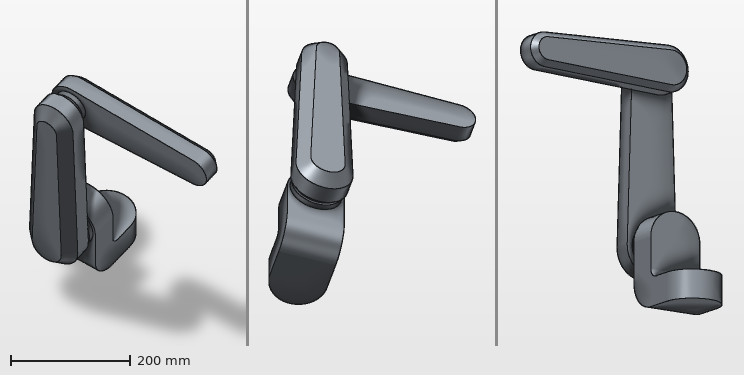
import cadquery as cq
import math

overall_length_x = 330.0
overall_depth_y = 220.0
overall_height_z = 460.0

bracket_width = 100.0
bracket_depth = 150.0
bracket_thickness = 50.0
bracket_inner_radius = 15.0
bracket_outer_radius = bracket_thickness
lower_axis_z = 120.0

elbow_width = 80.0
tip_width = 60.0
lower_arm_thickness = 50.0
lower_arm_chamfer = 20.0
upper_arm_thickness = 40.0
upper_arm_chamfer = 10.0

bracket_boss_diameter = 90.0
arm_lower_boss_diameter = 80.0
elbow_boss_diameter = 60.0

joint_gap = overall_depth_y - bracket_depth - lower_arm_thickness
boss_height = joint_gap / 2
lower_arm_back_y = -joint_gap
upper_axis_z = overall_height_z - elbow_width / 2
lower_arm_length = upper_axis_z - lower_axis_z
upper_arm_length = overall_length_x - bracket_width / 2 - tip_width / 2


def bar_outline(length, start_radius, end_radius):
    """Closed outline along +X: an arc around each end centre, joined by lines tangent to both."""
    lean_sine = (start_radius - end_radius) / length
    lean_cosine = math.sqrt(1 - lean_sine**2)
    start_x = start_radius * lean_sine
    start_y = start_radius * lean_cosine
    end_x = length + end_radius * lean_sine
    end_y = end_radius * lean_cosine
    return (
        cq.Workplane("XY")
        .moveTo(start_x, -start_y)
        .lineTo(end_x, -end_y)
        .threePointArc((length + end_radius, 0), (end_x, end_y))
        .lineTo(start_x, start_y)
        .threePointArc((-start_radius, 0), (start_x, -start_y))
        .close()
    )


def chamfered_bar(length, start_width, end_width, thickness, chamfer):
    """Tapered bar along +X, standing on Z = 0, with its upper rim sloped at 45 degrees."""
    start_radius = start_width / 2
    end_radius = end_width / 2
    straight_height = thickness - chamfer
    base = bar_outline(length, start_radius, end_radius).extrude(straight_height)
    rim_bottom = bar_outline(length, start_radius, end_radius).wire().val()
    rim_top = bar_outline(length, start_radius - chamfer, end_radius - chamfer).wire().val()
    cap = cq.Solid.makeLoft(
        [
            rim_bottom.translate(cq.Vector(0, 0, straight_height)),
            rim_top.translate(cq.Vector(0, 0, thickness)),
        ],
        True,
    )
    return base.union(cq.Workplane(cap))


def boss(diameter, start_y, axis_z):
    """Round boss on the X = 0 joint line, running toward +Y from start_y."""
    return cq.Workplane(
        cq.Solid.makeCylinder(
            diameter / 2, boss_height, cq.Vector(0, start_y, axis_z), cq.Vector(0, 1, 0)
        )
    )


def make_bracket():
    half_width = bracket_width / 2
    top_z = lower_axis_z + half_width
    strip = (
        cq.Workplane("YZ")
        .moveTo(0, 0)
        .lineTo(bracket_depth, 0)
        .lineTo(bracket_depth, bracket_thickness)
        .lineTo(bracket_thickness, bracket_thickness)
        .lineTo(bracket_thickness, top_z)
        .lineTo(0, top_z)
        .close()
        .extrude(half_width, both=True)
    )
    inner_corner = (0, bracket_thickness, bracket_thickness)
    outer_corner = (0, 0, 0)
    strip = strip.edges(cq.selectors.NearestToPointSelector(inner_corner)).fillet(bracket_inner_radius)
    strip = strip.edges(cq.selectors.NearestToPointSelector(outer_corner)).fillet(bracket_outer_radius)

    foot_centre_y = bracket_depth - half_width
    foot_limit = (
        bar_outline(foot_centre_y + half_width, half_width, half_width)
        .extrude(top_z)
        .rotate((0, 0, 0), (0, 0, 1), 90)
        .translate((0, -half_width, 0))
    )
    upright_limit = (
        bar_outline(lower_axis_z + half_width, half_width, half_width)
        .extrude(bracket_depth)
        .rotate((0, 0, 0), (0, 0, 1), -90)
        .rotate((0, 0, 0), (1, 0, 0), -90)
        .translate((0, 0, -half_width))
    )
    strip = strip.intersect(foot_limit).intersect(upright_limit)
    return strip.union(boss(bracket_boss_diameter, -boss_height, lower_axis_z))


def make_lower_arm():
    bar = (
        chamfered_bar(lower_arm_length, bracket_width, elbow_width, lower_arm_thickness, lower_arm_chamfer)
        .rotate((0, 0, 0), (0, 0, 1), 90)
        .rotate((0, 0, 0), (1, 0, 0), 90)
        .translate((0, lower_arm_back_y, lower_axis_z))
    )
    bar = bar.union(boss(arm_lower_boss_diameter, lower_arm_back_y, lower_axis_z))
    return bar.union(boss(elbow_boss_diameter, lower_arm_back_y, upper_axis_z))


def make_upper_arm():
    bar = (
        chamfered_bar(upper_arm_length, elbow_width, tip_width, upper_arm_thickness, upper_arm_chamfer)
        .rotate((0, 0, 0), (1, 0, 0), -90)
        .translate((0, 0, upper_axis_z))
    )
    return bar.union(boss(elbow_boss_diameter, -boss_height, upper_axis_z))


bracket = make_bracket()
lower_arm = make_lower_arm()
upper_arm = make_upper_arm()

result = cq.Compound.makeCompound([bracket.val(), lower_arm.val(), upper_arm.val()])